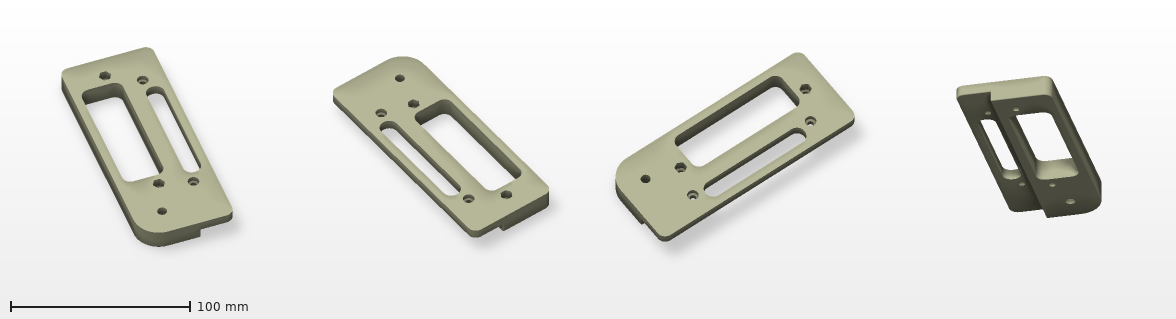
import cadquery as cq

LENGTH = 135
WIDTH = 55.0
HEIGHT = 12.0
CORNER_RADIUS = 5.0
LARGE_CORNER_RADIUS = 15.0

STEP_Y = 34.4
LEDGE_THICKNESS = 6.1
RIM_RADIUS = 0.5

SLOT_LEFT, SLOT_RIGHT = 29.5, 98.0
SLOT_FRONT, SLOT_BACK = 39.4, 50
WINDOW_LEFT, WINDOW_RIGHT = 19.2, 92.7
WINDOW_FRONT, WINDOW_BACK = 5.0, 29.4

SCREW_DIAMETER = 3.5
HEAD_DIAMETER = 6.5
HEAD_DEPTH = 3.0
HEAD_CENTERS = [(23, 41.5), (104.5, 41.5)]
NUT_ACROSS_CORNERS = 7.2
NUT_DEPTH = 6.0
NUT_CENTERS = [(12.7, 22.8), (99.2, 22.8)]

PIVOT_DIAMETER = 5.5
PIVOT_CENTER = (119.5, 17.3)


def make_body():
    """Stepped plate with rounded corners and a rounded lower outer rim."""
    body = cq.Workplane("XY").box(LENGTH, WIDTH, HEIGHT, centered=False)
    body = body.edges("|Z and (<X or >Y)").fillet(CORNER_RADIUS)
    body = body.edges("|Z and >X and <Y").fillet(LARGE_CORNER_RADIUS)
    ledge_height = HEIGHT - LEDGE_THICKNESS
    ledge_space = (
        cq.Workplane("XY")
        .box(LENGTH, WIDTH - STEP_Y, ledge_height, centered=False)
        .translate((0, STEP_Y, 0))
    )
    body = body.cut(ledge_space)
    step_face = body.faces(cq.selectors.NearestToPointSelector((LENGTH / 2, STEP_Y, ledge_height / 2)))
    step_ends = step_face.edges("|Z")
    inner_corner = step_face.edges(">Z").val()
    rim = body.faces("-Z").edges().add(step_ends)
    rim_edges = [edge for edge in rim.vals() if not edge.isSame(inner_corner)]
    return body.newObject(rim_edges).fillet(RIM_RADIUS)


def opening(left, right, front, back):
    """Vertical cutter with rounded corners, as tall as the plate."""
    return (
        cq.Workplane("XY")
        .box(right - left, back - front, HEIGHT, centered=False)
        .translate((left, front, 0))
        .edges("|Z")
        .fillet(CORNER_RADIUS)
    )


def top_plane(body):
    """Workplane on the top face, sharing the plate's X and Y."""
    return body.copyWorkplane(cq.Workplane("XY", origin=(0, 0, HEIGHT)))


def cut_nut_recess(body, center):
    """Hexagonal pocket with two corners pointing along Y."""
    cutter = (
        cq.Workplane("XY")
        .polygon(6, NUT_ACROSS_CORNERS)
        .extrude(NUT_DEPTH)
        .rotate((0, 0, 0), (0, 0, 1), 90)
        .translate((*center, HEIGHT - NUT_DEPTH))
    )
    return body.cut(cutter)


result = make_body()
result = result.cut(opening(SLOT_LEFT, SLOT_RIGHT, SLOT_FRONT, SLOT_BACK))
result = result.cut(opening(WINDOW_LEFT, WINDOW_RIGHT, WINDOW_FRONT, WINDOW_BACK))
result = (
    top_plane(result)
    .pushPoints(HEAD_CENTERS)
    .cboreHole(SCREW_DIAMETER, HEAD_DIAMETER, HEAD_DEPTH)
)
result = top_plane(result).pushPoints(NUT_CENTERS).hole(SCREW_DIAMETER)
for nut_center in NUT_CENTERS:
    result = cut_nut_recess(result, nut_center)
result = top_plane(result).pushPoints([PIVOT_CENTER]).hole(PIVOT_DIAMETER)